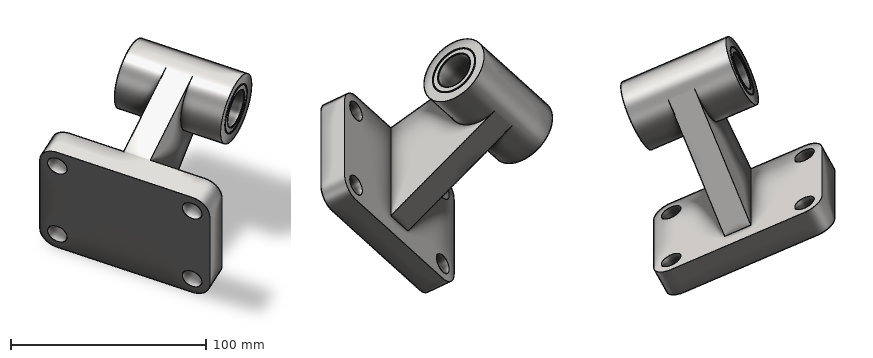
import cadquery as cq
import math

plate_width = 96.0
plate_height = 70.0
plate_thickness = 15.0
corner_radius = 10.0
hole_diameter = 11.0
hole_spacing_x = plate_width - 2 * corner_radius
hole_spacing_z = plate_height - 2 * corner_radius

overall_depth = 90.0
overall_height = 84.0
barrel_diameter = 38.0
barrel_radius = barrel_diameter / 2
barrel_length = 60.0
barrel_y = overall_depth - barrel_radius
barrel_z = overall_height - barrel_radius

bore_diameter = 20.0
bushing_rim_diameter = 26.0
groove_width = 0.6
groove_depth = 0.5
bore_chamfer = 0.4

web_thickness = 15.0
web_bottom_angle = 30.0


def make_plate():
    plate = (
        cq.Workplane("XY")
        .box(plate_width, plate_thickness, plate_height, centered=(True, False, False))
        .edges("|Y")
        .fillet(corner_radius)
    )
    return (
        plate.faces("<Y")
        .workplane(centerOption="CenterOfBoundBox")
        .rect(hole_spacing_x, hole_spacing_z, forConstruction=True)
        .vertices()
        .hole(hole_diameter)
    )


def barrel_point(angle):
    """Point (Y, Z) on the barrel surface at an angle in radians from +Y."""
    return (
        barrel_y + barrel_radius * math.cos(angle),
        barrel_z + barrel_radius * math.sin(angle),
    )


def make_web():
    """Web whose sloping top and bottom faces are tangent to the barrel."""
    reach = barrel_y - plate_thickness
    rise = plate_height - barrel_z
    top_angle = math.atan2(rise, -reach) - math.acos(barrel_radius / math.hypot(reach, rise))
    bottom_slope = math.radians(web_bottom_angle)
    bottom_z = barrel_z - barrel_radius / math.cos(bottom_slope) - reach * math.tan(bottom_slope)
    return (
        cq.Workplane("YZ")
        .moveTo(plate_thickness, bottom_z)
        .lineTo(plate_thickness, plate_height)
        .lineTo(*barrel_point(top_angle))
        .lineTo(barrel_y, barrel_z)
        .lineTo(*barrel_point(bottom_slope - math.pi / 2))
        .close()
        .extrude(web_thickness / 2, both=True)
    )


def make_barrel():
    return (
        cq.Workplane("YZ")
        .center(barrel_y, barrel_z)
        .circle(barrel_radius)
        .extrude(barrel_length / 2, both=True)
    )


def revolve_about_barrel(profile):
    """Revolve an XY profile around the X axis and move it onto the barrel axis."""
    ring = cq.Workplane("XY").polyline(profile).close().revolve(360, (0, 0, 0), (1, 0, 0))
    return ring.translate((0, barrel_y, barrel_z))


def make_bore():
    """Through bore with a small chamfer at both mouths."""
    end_x = barrel_length / 2
    bore_radius = bore_diameter / 2
    return revolve_about_barrel([
        (-end_x, 0),
        (-end_x, bore_radius + bore_chamfer),
        (-end_x + bore_chamfer, bore_radius),
        (end_x - bore_chamfer, bore_radius),
        (end_x, bore_radius + bore_chamfer),
        (end_x, 0),
    ])


def make_rim_groove(side):
    """V groove around the bushing on the -X (side = -1) or +X (side = 1) end."""
    end_x = side * barrel_length / 2
    rim_radius = bushing_rim_diameter / 2
    return revolve_about_barrel([
        (end_x, rim_radius),
        (end_x - side * groove_depth, rim_radius + groove_width / 2),
        (end_x, rim_radius + groove_width),
    ])


result = make_plate().union(make_web()).union(make_barrel()).cut(make_bore())
for end_side in (-1, 1):
    result = result.cut(make_rim_groove(end_side))